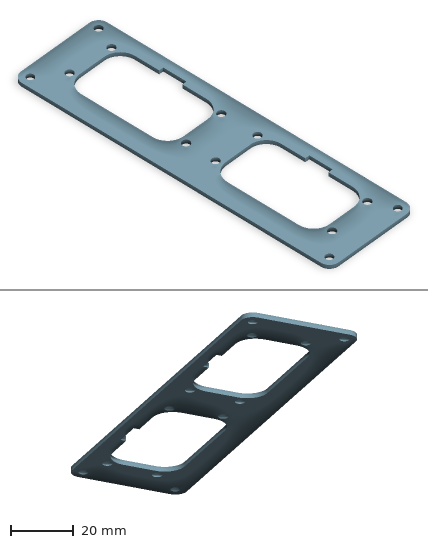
import cadquery as cq

plate_length = 137.0
plate_width = 40.0
plate_thickness = 1.6
corner_radius = 4.0

mount_hole_diameter = 3.2
mount_inset = corner_radius

opening_spacing = 63.0
opening_length = 44.7
opening_width = 25.2
opening_center_y = 1.4
opening_radius = 7.0
notch_length = 10.0
notch_top_y = 15.9

fixing_hole_diameter = 3.3
upper_pair_spacing = 47.4
upper_pair_y = 11.9
lower_pair_spacing = 50.3
lower_pair_y = -6.2


def through_holes(points, diameter):
    """Cylinders that pass through the plate at the given points."""
    return cq.Workplane("XY").pushPoints(points).circle(diameter / 2).extrude(plate_thickness)


def notched_opening(center_x):
    """Rounded rectangular opening with a square notch in its +Y edge."""
    window = (
        cq.Workplane("XY")
        .center(center_x, opening_center_y)
        .rect(opening_length, opening_width)
        .extrude(plate_thickness)
        .edges("|Z")
        .fillet(opening_radius)
    )
    notch_depth = notch_top_y - opening_center_y
    notch = (
        cq.Workplane("XY")
        .center(center_x, opening_center_y + notch_depth / 2)
        .rect(notch_length, notch_depth)
        .extrude(plate_thickness)
    )
    return window.union(notch)


def fixing_points(center_x):
    """Centres of the four fixing holes around one opening."""
    pairs = [(upper_pair_spacing, upper_pair_y), (lower_pair_spacing, lower_pair_y)]
    return [(center_x + side * spacing / 2, y) for spacing, y in pairs for side in (-1, 1)]


plate = (
    cq.Workplane("XY")
    .rect(plate_length, plate_width)
    .extrude(plate_thickness)
    .edges("|Z")
    .fillet(corner_radius)
)

mount_x = plate_length / 2 - mount_inset
mount_y = plate_width / 2 - mount_inset
mount_points = [(x, y) for x in (-mount_x, mount_x) for y in (-mount_y, mount_y)]
result = plate.cut(through_holes(mount_points, mount_hole_diameter))

for opening_x in (-opening_spacing / 2, opening_spacing / 2):
    result = result.cut(notched_opening(opening_x))
    result = result.cut(through_holes(fixing_points(opening_x), fixing_hole_diameter))